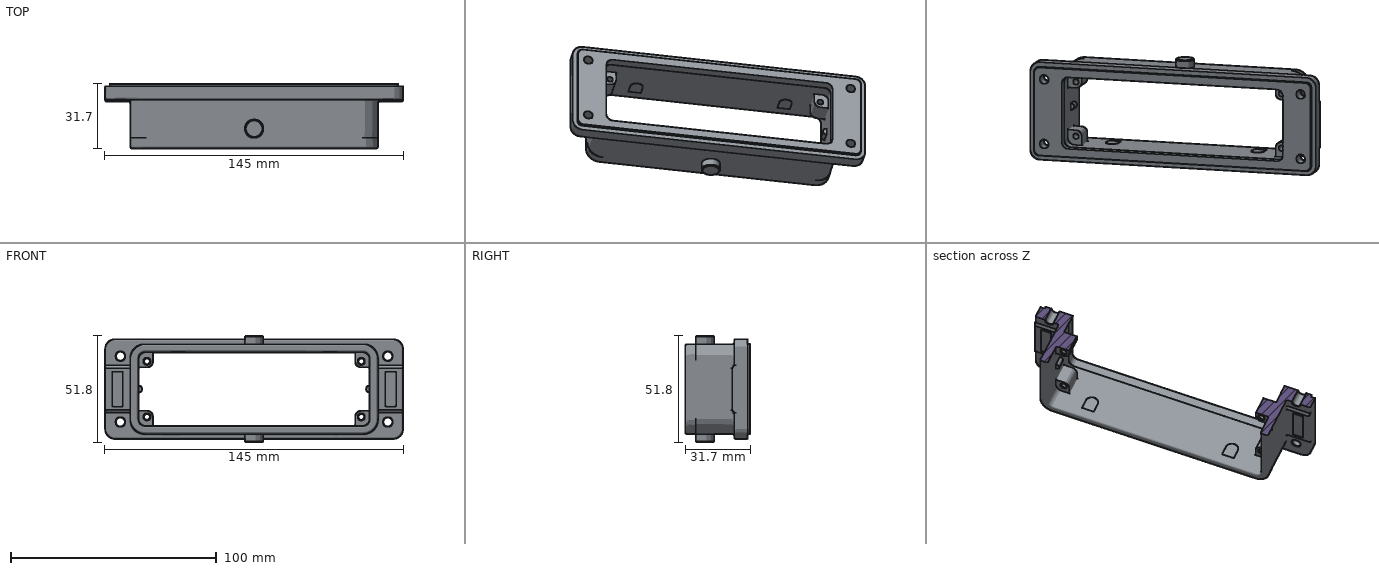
import cadquery as cq
import math

lip_height = 1.2
overall_depth = 31.65
flange_thickness = 6.6
pad_rise = 1.0
front_y = -(overall_depth - lip_height)

flange_length = 144.99
flange_height = 48.6
flange_corner = 5.0
flange_front_fillet = 0.9
flange_back_relief = 0.7
flange_back_draft = 0.1
mount_pitch_x = 130.0
mount_pitch_z = 32.0
mount_hole_d = 4.3
mount_hole_chamfer = 0.25

lip_inset = 2.3
lip_chamfer = 0.25

pad_base_height = 23.0
pad_top_height = 20.2
panel_width = 5.3
panel_height = 17.0
panel_corner = 0.6
panel_center_x = 66.4
panel_depth = 0.2

body_length = 120.5
body_height = 43.75
body_draft_growth = 0.05
body_corner = 7.5
band_depth = 5.2
band_corner = 7.0
body_front_fillet = 1.1
body_root_fillet = 0.75

mouth_length = 112.4
mouth_height = 36.0
bore_length = 112.2
bore_height = 35.7
rear_length = 112.0
rear_height = 35.5
cavity_corner = 3.3
mouth_fillet = 1.0
taper_end_depth = 10.9
rear_opening_depth = 4.6

boss_pitch_x = 104.2
boss_pitch_z = 27.0
boss_radius = 3.0
boss_length = 9.9
boss_hole_d = 2.8
boss_hole_chamfer = 0.4
boss_root_fillet = 0.4

rib_radius = 1.7
rib_length = 5.0
scoop_x = 36.9
scoop_width = 6.2
scoop_length = 8.0
scoop_depth = 0.05
scoop_above_floor = 1.0
pin_d = 9.0
pin_span = 51.75
pin_depth = 9.7
pin_chamfer = 0.5

bore_start_y = front_y + taper_end_depth
band_end_y = front_y + band_depth
select_margin = 0.1
root_length = body_length + body_draft_growth
root_height = body_height + body_draft_growth


def at_y(y):
    """Workplane parallel to XZ at the given Y; extruding goes toward -Y."""
    return cq.Workplane("XZ", origin=(0, y, 0))


def rounded_block(length, height, corner, y_back, y_front):
    """Block with rounded corners between two Y planes."""
    block = at_y(y_back).rect(length, height).extrude(y_back - y_front)
    return block.edges("|Y").fillet(corner)


def rounded_outline(length, height, corner):
    return cq.Sketch().rect(length, height).vertices().fillet(corner)


def make_pad(side):
    """Raised pad with sloping flanks on one flange end, with a shallow name panel."""
    inner_x = side * body_length / 2
    outer_x = side * flange_length / 2
    base = -flange_thickness
    top = base - pad_rise
    pad = (
        cq.Workplane("YZ", origin=(inner_x, 0, 0))
        .polyline([
            (base / 2, -pad_base_height / 2),
            (base, -pad_base_height / 2),
            (top, -pad_top_height / 2),
            (top, pad_top_height / 2),
            (base, pad_base_height / 2),
            (base / 2, pad_base_height / 2),
        ])
        .close()
        .extrude(outer_x - inner_x)
    )
    outer_edge = ">X" if side > 0 else "<X"
    pad = pad.faces("<Y").edges(outer_edge).fillet(flange_front_fillet)
    panel = rounded_block(panel_width, panel_height, panel_corner, top + panel_depth, top - pad_rise)
    return pad.cut(panel.translate((side * panel_center_x, 0, 0)))


def make_flange():
    flange = rounded_block(flange_length, flange_height, flange_corner, 0, -flange_thickness)
    flange = flange.faces("<Y").edges().fillet(flange_front_fillet)
    flange = flange.faces(">Y").chamfer(flange_back_relief, flange_back_draft)
    lip = rounded_block(
        flange_length - 2 * lip_inset,
        flange_height - 2 * lip_inset,
        flange_corner - lip_inset,
        lip_height,
        0,
    )
    return flange.union(lip.faces(">Y").edges().chamfer(lip_chamfer))


def make_body():
    """Slightly drafted hood body with a straight front band of tighter corners."""
    body = (
        at_y(0)
        .placeSketch(
            rounded_outline(root_length, root_height, body_corner),
            rounded_outline(body_length, body_height, body_corner)
            .moved(cq.Location(cq.Vector(0, 0, -band_end_y))),
        )
        .loft()
    )
    band = rounded_block(body_length, body_height, band_corner, band_end_y, front_y)
    return body.union(band.faces("<Y").edges().fillet(body_front_fillet))


def make_cavity():
    """Void through the hood: straight mouth, taper, bore and rear opening."""
    mouth = rounded_block(mouth_length, mouth_height, cavity_corner, band_end_y, front_y)
    taper = (
        at_y(bore_start_y)
        .placeSketch(
            rounded_outline(bore_length, bore_height, cavity_corner),
            rounded_outline(mouth_length, mouth_height, cavity_corner)
            .moved(cq.Location(cq.Vector(0, 0, bore_start_y - band_end_y))),
        )
        .loft()
    )
    rear_y = lip_height - rear_opening_depth
    bore = rounded_block(bore_length, bore_height, cavity_corner, rear_y, bore_start_y)
    rear = rounded_block(rear_length, rear_height, cavity_corner, lip_height, rear_y)
    return mouth.union(taper).union(bore).union(rear)


def make_scoops():
    """Shallow round-ended recesses in the top and bottom cavity walls."""
    scoops = cq.Workplane("XY")
    floor_z = -mouth_height / 2 - scoop_depth
    back_y = band_end_y + scoop_length
    radius = scoop_width / 2
    for x in (-scoop_x, scoop_x):
        scoop = (
            cq.Workplane("XY", origin=(x, 0, floor_z))
            .moveTo(-radius, band_end_y)
            .lineTo(-radius, back_y - radius)
            .threePointArc((0, back_y), (radius, back_y - radius))
            .lineTo(radius, band_end_y)
            .close()
            .extrude(scoop_above_floor)
        )
        scoops = scoops.add(scoop).add(scoop.mirror("XY"))
    return scoops.combine()


def make_boss():
    """Screw boss for the +X +Z cavity corner, with fillets where it runs into the walls."""
    wall_x = bore_length / 2
    wall_z = bore_height / 2
    left = boss_pitch_x / 2 - boss_radius
    low = boss_pitch_z / 2 - boss_radius
    right = (body_length + bore_length) / 4
    high = (body_height + bore_height) / 4
    corner_cut = cavity_corner / 2
    root = boss_root_fillet
    bulge = root * (1 - math.sqrt(0.5))
    round_off = boss_radius * (1 - math.sqrt(0.5))
    return (
        at_y(bore_start_y + boss_length)
        .moveTo(right - corner_cut, high)
        .lineTo(left - root, high)
        .lineTo(left - root, wall_z)
        .threePointArc((left - bulge, wall_z - bulge), (left, wall_z - root))
        .lineTo(left, low + boss_radius)
        .threePointArc((left + round_off, low + round_off), (left + boss_radius, low))
        .lineTo(wall_x - root, low)
        .threePointArc((wall_x - bulge, low - bulge), (wall_x, low - root))
        .lineTo(right, low - root)
        .lineTo(right, high - corner_cut)
        .close()
        .extrude(boss_length)
    )


def make_boss_hole():
    radius = boss_hole_d / 2
    hole = at_y(bore_start_y + boss_length).circle(radius).extrude(boss_length)
    mouth = (
        at_y(bore_start_y + boss_hole_chamfer)
        .circle(radius)
        .workplane(offset=boss_hole_chamfer)
        .circle(radius + boss_hole_chamfer)
        .loft()
    )
    return hole.union(mouth)


def make_pins():
    pin = (
        cq.Workplane("XY", origin=(0, front_y + pin_depth, 0))
        .workplane(offset=mouth_height / 2 + body_front_fillet)
        .circle(pin_d / 2)
        .extrude(pin_span / 2 - mouth_height / 2 - body_front_fillet)
        .faces(">Z")
        .chamfer(pin_chamfer)
    )
    return pin.union(pin.mirror("XY"))


def make_mount_holes():
    radius = mount_hole_d / 2
    face_y = -flange_thickness
    holes = (
        at_y(lip_height)
        .rect(mount_pitch_x, mount_pitch_z, forConstruction=True)
        .vertices()
        .circle(radius)
        .extrude(lip_height - face_y)
    )
    rim = (
        at_y(face_y + mount_hole_chamfer)
        .circle(radius)
        .workplane(offset=mount_hole_chamfer)
        .circle(radius + mount_hole_chamfer)
        .loft()
    )
    for x in (-mount_pitch_x / 2, mount_pitch_x / 2):
        for z in (-mount_pitch_z / 2, mount_pitch_z / 2):
            holes = holes.union(rim.translate((x, 0, z)))
    return holes


def make_ribs():
    """Half-round ribs running along Y on the two short cavity walls."""
    return (
        at_y(bore_start_y + rib_length)
        .pushPoints([(-bore_length / 2, 0), (bore_length / 2, 0)])
        .circle(rib_radius)
        .extrude(rib_length)
    )


def box_around(x_half, y_low, y_high, z_half):
    """Selects edges whose centers lie in a box that is symmetric about the Y axis."""
    return cq.selectors.BoxSelector((-x_half, y_low, -z_half), (x_half, y_high, z_half))


shell = make_flange().union(make_body())
for side in (-1, 1):
    shell = shell.union(make_pad(side))
root = box_around(
    root_length / 2 + select_margin,
    -flange_thickness - pad_rise - select_margin,
    -flange_thickness + select_margin,
    root_height / 2 + select_margin,
)
shell = shell.edges(root).fillet(body_root_fillet)
shell = shell.union(make_pins())

hood = shell.cut(make_cavity())
mouth_edges = box_around(
    mouth_length / 2 + select_margin,
    front_y - select_margin,
    front_y + select_margin,
    mouth_height / 2 + select_margin,
)
hood = hood.edges(mouth_edges).fillet(mouth_fillet)
hood = hood.cut(make_scoops()).cut(make_mount_holes()).union(make_ribs())

boss = make_boss()
boss_hole = make_boss_hole().translate((boss_pitch_x / 2, 0, boss_pitch_z / 2))
bosses = boss.union(boss.mirror("YZ"))
bosses = bosses.union(bosses.mirror("XY"))
boss_holes = boss_hole.union(boss_hole.mirror("YZ"))
boss_holes = boss_holes.union(boss_holes.mirror("XY"))

result = hood.union(bosses).cut(boss_holes)